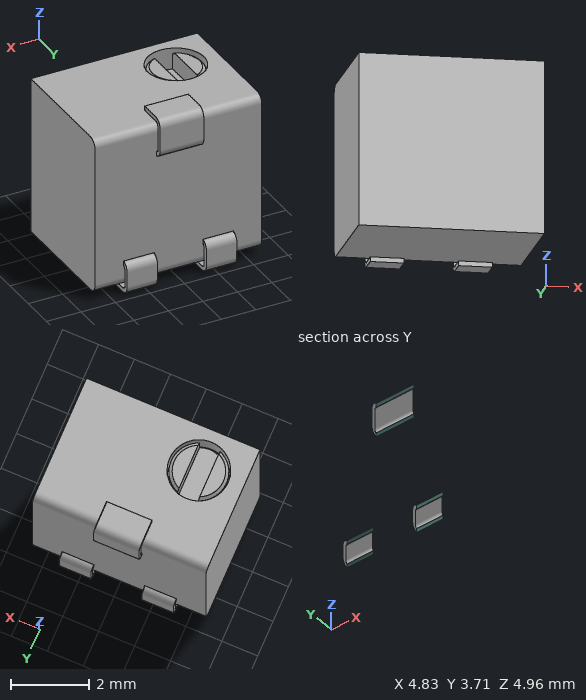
import cadquery as cq
import math

housing_width = 4.83
housing_depth = 3.515
housing_height = 4.565
housing_top = housing_height / 2
back_edge_radius = 0.248

rotor_x = -1.195
rotor_y = 1.125
recess_radius = 0.81
rotor_radius = 0.765
rotor_chamfer_width = 0.085
rotor_chamfer_height = 0.085
rotor_drop = 0.07
slot_width = 0.575
slot_floor_drop = 0.6
recess_depth = 0.695

sheet_thickness = 0.125
bend_outer_radius = 0.25
bend_inner_radius = bend_outer_radius - sheet_thickness
terminal_standoff = 0.195
terminal_foot_length = 0.845
upper_terminal_width = 1.26
upper_straight_length = 0.645
lower_terminal_width = 0.88
lower_straight_length = 0.445
lower_terminal_spacing = 2.295


def make_rotor():
    """Chamfered cylinder with a driver slot along Y, standing on the recess floor."""
    rotor_height = recess_depth - rotor_drop
    slot_depth = slot_floor_drop - rotor_drop
    rotor = (
        cq.Workplane("XY", origin=(rotor_x, rotor_y, housing_top - recess_depth))
        .circle(rotor_radius)
        .extrude(rotor_height)
        .faces(">Z")
        .chamfer(rotor_chamfer_height, rotor_chamfer_width)
    )
    slot = (
        cq.Workplane("XY", origin=(rotor_x, rotor_y, housing_top - slot_floor_drop))
        .rect(slot_width, 2 * recess_radius)
        .extrude(slot_depth)
    )
    return rotor.cut(slot)


def make_housing():
    """Block with rounded back edges and the slotted rotor inside a round recess."""
    block = (
        cq.Workplane("XY")
        .box(housing_width, housing_depth, housing_height, centered=(True, False, True))
        .edges("|X and >Y")
        .fillet(back_edge_radius)
    )
    recess = (
        cq.Workplane("XY", origin=(rotor_x, rotor_y, housing_top - recess_depth))
        .circle(recess_radius)
        .extrude(recess_depth)
    )
    return block.cut(recess).union(make_rotor())


def make_terminal(center_x, width, straight_length, side):
    """Terminal wrapped round a back edge of the housing; side is +1 for top, -1 for bottom.

    The foot lies outside the housing, the straight stands behind it, and a second
    bend runs forward until it meets the back face.
    """
    back_y = housing_depth + terminal_standoff
    bend_y = back_y - bend_outer_radius
    foot_end_y = back_y - terminal_foot_length
    outer_z = housing_top + terminal_standoff
    foot_bend_z = outer_z - bend_outer_radius
    root_bend_z = foot_bend_z - straight_length

    def bend_point(radius, angle, bend_z):
        return (bend_y + radius * math.cos(angle), side * (bend_z + radius * math.sin(angle)))

    def root_angle(radius):
        return -math.acos((housing_depth - bend_y) / radius)

    mid_angle = math.pi / 4
    outer_root_angle = root_angle(bend_outer_radius)
    inner_root_angle = root_angle(bend_inner_radius)
    profile = (
        cq.Workplane("YZ", origin=(center_x - width / 2, 0, 0))
        .moveTo(foot_end_y, side * outer_z)
        .lineTo(bend_y, side * outer_z)
        .threePointArc(
            bend_point(bend_outer_radius, mid_angle, foot_bend_z),
            bend_point(bend_outer_radius, 0, foot_bend_z),
        )
        .lineTo(back_y, side * root_bend_z)
        .threePointArc(
            bend_point(bend_outer_radius, outer_root_angle / 2, root_bend_z),
            bend_point(bend_outer_radius, outer_root_angle, root_bend_z),
        )
        .lineTo(*bend_point(bend_inner_radius, inner_root_angle, root_bend_z))
        .threePointArc(
            bend_point(bend_inner_radius, inner_root_angle / 2, root_bend_z),
            bend_point(bend_inner_radius, 0, root_bend_z),
        )
        .lineTo(*bend_point(bend_inner_radius, 0, foot_bend_z))
        .threePointArc(
            bend_point(bend_inner_radius, mid_angle, foot_bend_z),
            bend_point(bend_inner_radius, math.pi / 2, foot_bend_z),
        )
        .lineTo(foot_end_y, side * (outer_z - sheet_thickness))
        .close()
    )
    return profile.extrude(width)


housing = make_housing()
upper_terminal = make_terminal(0, upper_terminal_width, upper_straight_length, 1)
lower_terminals = []
for x_sign in (-1, 1):
    lower_x = x_sign * lower_terminal_spacing / 2
    lower_terminals.append(make_terminal(lower_x, lower_terminal_width, lower_straight_length, -1))

result = cq.Compound.makeCompound(
    [housing.val(), upper_terminal.val(), *[terminal.val() for terminal in lower_terminals]]
)